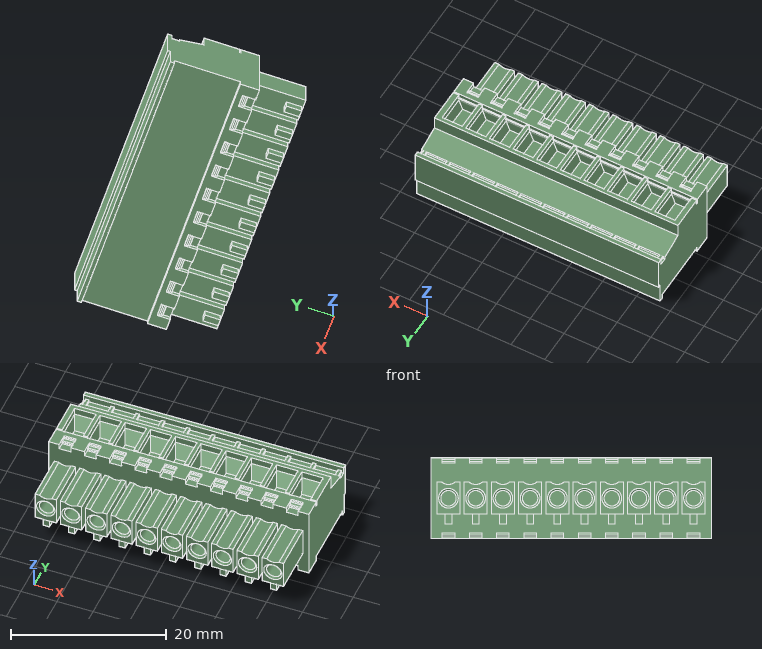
import cadquery as cq

ways = 10
pitch = 3.5
row_offset = -0.05
sleeve_width = 2.95
way_centres = [(i - (ways - 1) / 2) * pitch + row_offset for i in range(ways)]

body_length = 36.07
body_height = 10.42
body_depth = 12.5
front_block_depth = 2.6
top_block_depth = 7.55
underside_recess = 0.72
rear_foot_thickness = 0.58
rear_step = 0.35
rear_step_height = 3.15

lip_thickness = 0.6
lip_height = 8.15
gutter_floor = 7.2
gutter_width = 1.0
rib_width = 0.47
rib_height = 0.32
deck_high_edge = 8.4

slit_width = 0.18
slit_depth = 0.72

pocket_width = sleeve_width
pocket_length = 4.3
pocket_straight_depth = 1.0
pocket_taper_depth = 1.37
pocket_side_inset = 0.6
pocket_rear_inset = 1.55
pocket_front_inset = 0.1

notch_width = 1.62
notch_depth = 0.72
notch_length = 1.75
notch_step = notch_depth / 3
notch_run = 0.25

sleeve_length = 6.6
sleeve_bottom = 3.15
sleeve_top = 7.25
groove_diameter = 2.78
groove_depth = 0.3
bore_diameter = 2.0
bore_mouth_diameter = 2.52
bore_mouth_depth = (bore_mouth_diameter - bore_diameter) / 2
bore_height = 5.2

key_width = 0.85
key_length = 2.1
key_drop = 1.25
key_setback = 0.2


def box(x_centre, width, y_range, z_range):
    """Box centred on x_centre that fills the given Y and Z ranges."""
    y_low, y_high = y_range
    z_low, z_high = z_range
    return (
        cq.Workplane("XY")
        .box(width, y_high - y_low, z_high - z_low, centered=(True, False, False))
        .translate((x_centre, y_low, z_low))
    )


def extrude_along_x(points, x_centre, width):
    """Solid of the given (Y, Z) outline, centred on x_centre."""
    return (
        cq.Workplane("YZ")
        .polyline(points)
        .close()
        .extrude(width / 2, both=True)
        .translate((x_centre, 0, 0))
    )


def make_body():
    rear_foot_back = body_depth - rear_step
    rear_foot_front = rear_foot_back - rear_foot_thickness
    lip_front = body_depth - lip_thickness
    gutter_front = lip_front - gutter_width
    outline = [
        (0, 0),
        (front_block_depth, 0),
        (front_block_depth, underside_recess),
        (rear_foot_front, underside_recess),
        (rear_foot_front, 0),
        (rear_foot_back, 0),
        (rear_foot_back, rear_step_height),
        (body_depth, rear_step_height),
        (body_depth, lip_height),
        (lip_front, lip_height),
        (lip_front, gutter_floor),
        (gutter_front, gutter_floor),
        (gutter_front, gutter_floor + rib_height),
        (top_block_depth, deck_high_edge),
        (top_block_depth, body_height),
        (0, body_height),
    ]
    body = extrude_along_x(outline, 0, body_length)

    rib_y = (gutter_front, lip_front)
    rib_z = (gutter_floor, gutter_floor + rib_height)
    for i in range(ways + 1):
        body = body.union(box((i - ways / 2) * pitch, rib_width, rib_y, rib_z))
    return body


def make_slit():
    slit_y = (front_block_depth - slit_width / 2, front_block_depth + slit_width / 2)
    return box(0, body_length, slit_y, (body_height - slit_depth, body_height))


def make_pocket(x_centre):
    """Straight mouth over a funnel that narrows mostly from the rear and the sides."""
    front = front_block_depth + slit_width / 2
    rear = front + pocket_length
    taper_top = body_height - pocket_straight_depth
    mouth = box(x_centre, pocket_width, (front, rear), (taper_top, body_height))
    floor_width = pocket_width - 2 * pocket_side_inset
    floor_length = pocket_length - pocket_rear_inset - pocket_front_inset
    funnel = (
        cq.Workplane("XY")
        .workplane(offset=taper_top)
        .center(x_centre, front + pocket_length / 2)
        .rect(pocket_width, pocket_length)
        .workplane(offset=-pocket_taper_depth)
        .center(0, (pocket_front_inset - pocket_rear_inset) / 2)
        .rect(floor_width, floor_length)
        .loft(ruled=True)
    )
    return mouth.union(funnel)


def make_notch(x_centre):
    """Notch in the top front edge: a floor, a step, a slope and a back wall."""
    floor_z = body_height - notch_depth
    step_z = floor_z + notch_step
    shelf_z = step_z + notch_step
    floor_end = notch_length - 3 * notch_run
    outline = [
        (0, floor_z),
        (floor_end, floor_z),
        (floor_end, step_z),
        (floor_end + notch_run, step_z),
        (floor_end + 2 * notch_run, shelf_z),
        (notch_length, shelf_z),
        (notch_length, body_height),
        (0, body_height),
    ]
    return extrude_along_x(outline, x_centre, notch_width)


def make_sleeve(x_centre):
    sleeve = box(x_centre, sleeve_width, (-sleeve_length, 0), (sleeve_bottom, sleeve_top))

    key_front = key_setback - sleeve_length
    key_y = (key_front, key_front + key_length)
    key = box(x_centre, key_width, key_y, (sleeve_bottom - key_drop, sleeve_bottom))

    groove_radius = groove_diameter / 2
    groove = (
        cq.Workplane("XZ")
        .center(x_centre, sleeve_top + groove_radius - groove_depth)
        .circle(groove_radius)
        .extrude(sleeve_length)
    )
    return sleeve.union(key).cut(groove)


def make_bore(x_centre):
    """Blind bore along the sleeve with a conical mouth at the tip."""
    bore = (
        cq.Workplane("XZ")
        .center(x_centre, bore_height)
        .circle(bore_diameter / 2)
        .extrude(sleeve_length)
    )
    mouth = (
        cq.Workplane("XZ", origin=(x_centre, -sleeve_length, bore_height))
        .circle(bore_mouth_diameter / 2)
        .workplane(offset=-bore_mouth_depth)
        .circle(bore_diameter / 2)
        .loft()
    )
    return bore.union(mouth)


result = make_body().cut(make_slit())
mid_height = (0, 0, body_height / 2)
for x in way_centres:
    notch = make_notch(x)
    lower_notch = notch.mirror("XY", mid_height)
    result = result.cut(make_pocket(x)).cut(notch).cut(lower_notch)
    result = result.union(make_sleeve(x)).cut(make_bore(x))